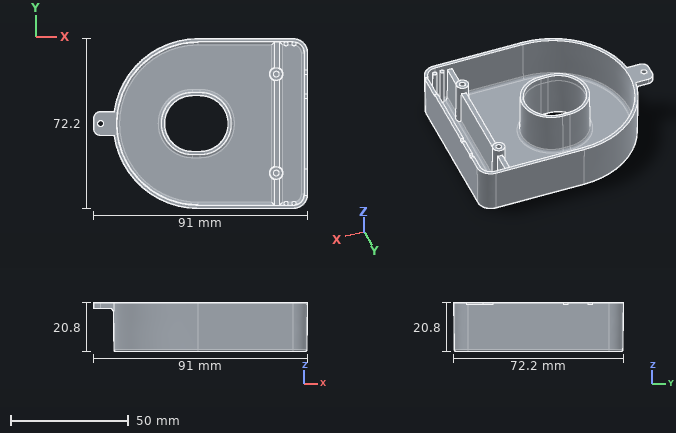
import cadquery as cq
import math

LENGTH = 91.0
WIDTH = 72.2
HEIGHT = 20.8
ROUND_RADIUS = WIDTH / 2
TAB_REACH = 44.5
FLAT_END_X = LENGTH - TAB_REACH
CORNER_RADIUS = 6.2
WALL = 1.4
FLOOR = 1.55
DRAFT = 0.8
BOTTOM_FILLET = 0.8
INNER_FILLET = 1.1
DRAFT_SLOPE = math.tan(math.radians(DRAFT))

TUBE_X = -0.8
TUBE_STRAIGHT = 3.3
TUBE_TOP_RADIUS = 13.2
BORE_RADIUS = 11.9
BORE_LAND = 2.9
BORE_DRAFT = 0.3

PARTITION_X = 33.5
PARTITION_TOP_WIDTH = 2.1
PARTITION_HEIGHT = 17.9
POST_X = 33.1
POST_Y = 21.0
POST_TOP_RADIUS = 2.6
POST_HOLE_DIAMETER = 2.5
POST_HOLE_DEPTH = 14.55

PIN_XS = (37.3, 40.7)
PIN_RADIUS = 0.9
PIN_Y = 33.9
PIN_HEIGHT = 18.6

TAB_WIDTH = 10.2
TAB_THICKNESS = 2.55
TAB_CORNER_RADIUS = 3.0
TAB_HOLE_DIAMETER = 2.5
GUSSET_REACH = 0.7
GUSSET_DEPTH = 1.1

NOTCHES = ((21.8, 1.9), (11.55, 1.9), (-24.9, 11.3))
NOTCH_DEPTH = 0.8


def d_outline(workplane, inset):
    """D-shaped outline, moved inwards by inset."""
    radius = ROUND_RADIUS - inset
    end_x = FLAT_END_X - inset
    corner = CORNER_RADIUS - inset
    diagonal = corner * (1 - math.sqrt(0.5))
    return (
        workplane.moveTo(0, -radius)
        .lineTo(end_x - corner, -radius)
        .threePointArc((end_x - diagonal, -radius + diagonal), (end_x, -radius + corner))
        .lineTo(end_x, radius - corner)
        .threePointArc((end_x - diagonal, radius - diagonal), (end_x - corner, radius))
        .lineTo(0, radius)
        .threePointArc((-radius, 0), (0, -radius))
        .close()
    )


def level(z):
    return cq.Workplane("XY", origin=(0, 0, z))


def drafted_down(inset, depth):
    """D-shaped block hanging from the rim, narrowing towards its bottom."""
    return d_outline(level(HEIGHT), inset).extrude(-depth, taper=DRAFT)


def oval(z, radius):
    return level(z).center(TUBE_X, 0).slot2D(TUBE_STRAIGHT + 2 * radius, 2 * radius)


def make_shell_body():
    return drafted_down(0, HEIGHT).faces("<Z").edges().fillet(BOTTOM_FILLET)


def make_partition():
    base_width = PARTITION_TOP_WIDTH + 2 * (PARTITION_HEIGHT - FLOOR) * DRAFT_SLOPE
    return (
        level(FLOOR).center(PARTITION_X, 0).rect(base_width, WIDTH)
        .workplane(offset=PARTITION_HEIGHT - FLOOR).rect(PARTITION_TOP_WIDTH, WIDTH)
        .loft()
    )


def make_tube():
    base_radius = TUBE_TOP_RADIUS + (HEIGHT - FLOOR) * DRAFT_SLOPE
    return oval(FLOOR, base_radius).extrude(HEIGHT - FLOOR, taper=DRAFT)


def make_cavity():
    """Space inside the walls, less the partition and tube, with a rounded floor edge."""
    cavity = drafted_down(WALL, HEIGHT - FLOOR)
    cavity = cavity.cut(make_partition()).cut(make_tube())
    return cavity.faces("<Z").edges().fillet(INNER_FILLET)


def make_bore():
    land = oval(HEIGHT, BORE_RADIUS).extrude(-BORE_LAND)
    drafted = oval(HEIGHT - BORE_LAND, BORE_RADIUS).extrude(BORE_LAND - HEIGHT, taper=BORE_DRAFT)
    return land.union(drafted)


def post_places():
    return level(FLOOR).pushPoints([(POST_X, -POST_Y), (POST_X, POST_Y)])


def make_posts():
    base_radius = POST_TOP_RADIUS + (HEIGHT - FLOOR) * DRAFT_SLOPE
    return post_places().circle(base_radius).extrude(HEIGHT - FLOOR, taper=DRAFT)


def make_post_holes():
    holes = post_places().circle(POST_HOLE_DIAMETER / 2).extrude(POST_HOLE_DEPTH)
    return holes.translate((0, 0, HEIGHT - FLOOR - POST_HOLE_DEPTH))


def make_pins():
    places = [(x, side * PIN_Y) for x in PIN_XS for side in (-1, 1)]
    return level(FLOOR).pushPoints(places).circle(PIN_RADIUS).extrude(PIN_HEIGHT - FLOOR)


def make_tab():
    """Tab with a sloped gusset underneath where it meets the round wall."""
    root_x = WALL - ROUND_RADIUS
    underside = HEIGHT - TAB_THICKNESS
    plate = (
        level(underside)
        .center((root_x - TAB_REACH) / 2, 0)
        .rect(root_x + TAB_REACH, TAB_WIDTH)
        .extrude(TAB_THICKNESS)
        .edges("|Z and <X").fillet(TAB_CORNER_RADIUS)
    )
    gusset = (
        cq.Workplane("XZ")
        .moveTo(-ROUND_RADIUS - GUSSET_REACH, underside)
        .lineTo(root_x, underside)
        .lineTo(root_x, underside - GUSSET_DEPTH)
        .lineTo(-ROUND_RADIUS, underside - GUSSET_DEPTH)
        .close()
        .extrude(TAB_WIDTH / 2, both=True)
    )
    hole = (
        level(HEIGHT).center(TAB_CORNER_RADIUS - TAB_REACH, 0)
        .circle(TAB_HOLE_DIAMETER / 2).extrude(-TAB_THICKNESS)
    )
    return plate.union(gusset).cut(hole)


def make_notch(centre_y, width):
    """Cutter that passes right through the flat end wall."""
    cutter_length = 3 * WALL
    return level(HEIGHT).center(FLAT_END_X, centre_y).rect(cutter_length, width).extrude(-NOTCH_DEPTH)


result = make_shell_body().union(make_tab())
result = result.cut(make_cavity()).cut(make_bore())
result = result.union(make_posts()).union(make_pins()).cut(make_post_holes())
for notch_y, notch_width in NOTCHES:
    result = result.cut(make_notch(notch_y, notch_width))